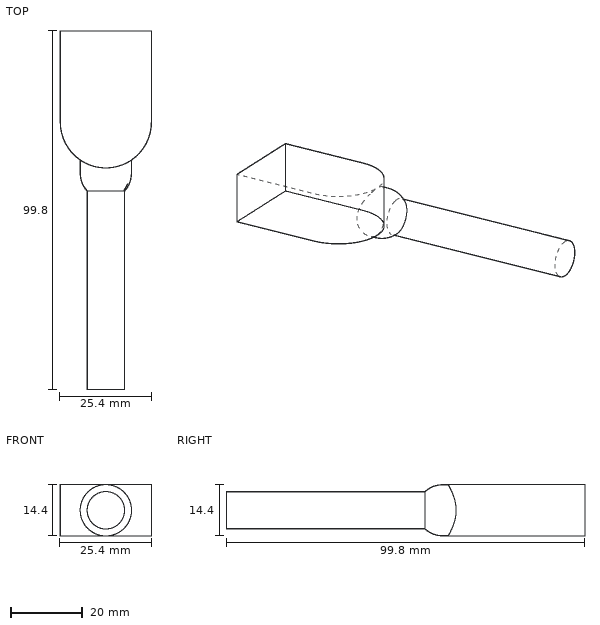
import cadquery as cq

head_width = 25.4
head_height = 14.4
head_straight_length = 25.4
head_radius = head_width / 2

overall_length = 99.75
collar_diameter = 14.28
collar_overhang = 1.5875
cable_diameter = 10.41

head_tip_y = -head_radius
collar_end_y = head_tip_y - collar_overhang
cable_end_y = head_straight_length - overall_length


def make_head():
    return (
        cq.Workplane("XY")
        .moveTo(-head_radius, head_straight_length)
        .lineTo(-head_radius, 0)
        .threePointArc((0, head_tip_y), (head_radius, 0))
        .lineTo(head_radius, head_straight_length)
        .close()
        .extrude(head_height / 2, both=True)
    )


def make_rod(diameter, end_y):
    """Round bar from the centre of the head's rounded end out to end_y."""
    return cq.Workplane("XZ").circle(diameter / 2).extrude(-end_y)


collar = make_rod(collar_diameter, collar_end_y)
collar_tip = cq.Workplane("XY").sphere(collar_diameter / 2).translate((0, collar_end_y, 0))
cable = make_rod(cable_diameter, cable_end_y)

result = make_head().union(collar).union(collar_tip).union(cable)